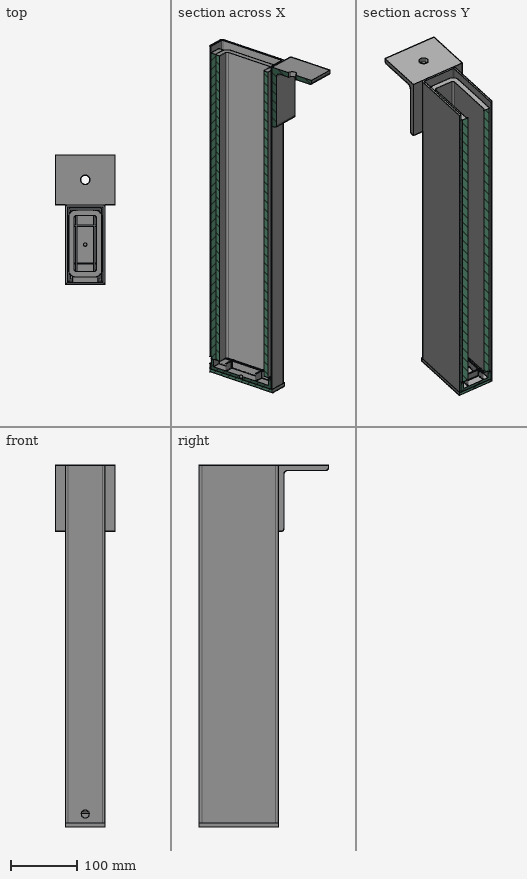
import cadquery as cq
TOTAL_HEIGHT = 545.0

PLATE_THICKNESS = 6.0

POST_WIDTH = 60.0
POST_DEPTH = 120.0
POST_WALL = 3.0
POST_CORNER_RADIUS = 4.5
POST_HEIGHT = TOTAL_HEIGHT - PLATE_THICKNESS
ACCESS_HOLE_DIAMETER = 12.0
ACCESS_HOLE_HEIGHT = 19.5

CAVITY_WIDTH = POST_WIDTH - 2 * POST_WALL
CAVITY_DEPTH = POST_DEPTH - 2 * POST_WALL
CAVITY_CORNER_RADIUS = POST_CORNER_RADIUS - POST_WALL
POST_FRONT_INSIDE = -CAVITY_DEPTH / 2

INSERT_TOP = 23.0
INSERT_CORNER_RADIUS = 3.0
INSERT_CHAMFER = 2.0
INSERT_FLOOR_THICKNESS = 5.0
INSERT_WALL = 5.0
RIB_THICKNESS = 1.7
RIB_OFFSET_X = 13.5
RIB_OFFSET_Y = 28.5
DRAIN_HOLE_DIAMETER = 5.0

INNER_WIDTH = 50.0
INNER_DEPTH = 100.5
INNER_WALL = 8.0
INNER_CORNER_RADIUS = 10.0
INNER_BORE_RADIUS = 3.0
INNER_TOP = 534
INNER_HEIGHT = INNER_TOP - INSERT_TOP
INNER_OFFSET_Y = 1.5
INNER_FRONT = INNER_OFFSET_Y - INNER_DEPTH / 2

SPACER_WIDTH = 38.0
SPACER_DEPTH = INNER_FRONT - POST_FRONT_INSIDE

BRACKET_WIDTH = 90.0
BRACKET_REACH = 75.0
BRACKET_DROP = 100.0
BRACKET_THICKNESS = 8.0
BRACKET_ROOT_RADIUS = 5.5
BRACKET_TOE_RADIUS = 4.5
BRACKET_HOLE_DIAMETER = 13.5
BRACKET_HOLE_FROM_EDGE = BRACKET_REACH / 2
POST_BACK = POST_DEPTH / 2


def rounded_block(width, depth, height, radius):
    """A block standing on Z = 0 with its four upright edges rounded."""
    block = cq.Workplane("XY").box(width, depth, height, centered=(True, True, False))
    return block.edges("|Z").fillet(radius)


def make_plate():
    """A plain rectangular plate that closes the foot of the post."""
    return cq.Workplane("XY").box(POST_WIDTH, POST_DEPTH, PLATE_THICKNESS, centered=(True, True, False))


def make_post():
    """The outer rectangular tube, with an access hole through the foot of its front wall."""
    outside = rounded_block(POST_WIDTH, POST_DEPTH, POST_HEIGHT, POST_CORNER_RADIUS)
    cavity = rounded_block(CAVITY_WIDTH, CAVITY_DEPTH, POST_HEIGHT, CAVITY_CORNER_RADIUS)
    post = outside.cut(cavity).translate((0, 0, PLATE_THICKNESS))
    access_hole = (
        cq.Workplane("XZ", origin=(0, 0, ACCESS_HOLE_HEIGHT))
        .circle(ACCESS_HOLE_DIAMETER / 2)
        .extrude(POST_DEPTH)
    )
    return post.cut(access_hole)


def make_insert():
    """A hollow plug with two ribs in each direction and a hole through its floor."""
    height = INSERT_TOP - PLATE_THICKNESS
    block = rounded_block(CAVITY_WIDTH, CAVITY_DEPTH, height, INSERT_CORNER_RADIUS)
    block = block.faces(">Z").edges().chamfer(INSERT_CHAMFER).translate((0, 0, PLATE_THICKNESS))
    hollow_width = CAVITY_WIDTH - 2 * INSERT_WALL
    hollow_depth = CAVITY_DEPTH - 2 * INSERT_WALL
    floor = PLATE_THICKNESS + INSERT_FLOOR_THICKNESS
    hollow = cq.Workplane("XY", origin=(0, 0, floor)).rect(hollow_width, hollow_depth).extrude(height)
    for side in (-1, 1):
        rib_x = cq.Workplane("XY", origin=(side * RIB_OFFSET_X, 0, floor)).rect(RIB_THICKNESS, CAVITY_DEPTH)
        rib_y = cq.Workplane("XY", origin=(0, side * RIB_OFFSET_Y, floor)).rect(CAVITY_WIDTH, RIB_THICKNESS)
        hollow = hollow.cut(rib_x.extrude(height)).cut(rib_y.extrude(height))
    drain = cq.Workplane("XY").circle(DRAIN_HOLE_DIAMETER / 2).extrude(INSERT_TOP)
    return block.cut(hollow).cut(drain)


def make_inner_tube():
    """A thicker tube inside the post that stands on the insert."""
    outside = rounded_block(INNER_WIDTH, INNER_DEPTH, INNER_HEIGHT, INNER_CORNER_RADIUS)
    bore_width = INNER_WIDTH - 2 * INNER_WALL
    bore_depth = INNER_DEPTH - 2 * INNER_WALL
    bore = rounded_block(bore_width, bore_depth, INNER_HEIGHT, INNER_BORE_RADIUS)
    return outside.cut(bore).translate((0, INNER_OFFSET_Y, INSERT_TOP))


def make_spacer():
    """A bar that fills the gap between the inner tube and the front wall of the post."""
    middle_y = (INNER_FRONT + POST_FRONT_INSIDE) / 2
    return (
        cq.Workplane("XY", origin=(0, middle_y, INSERT_TOP))
        .rect(SPACER_WIDTH, SPACER_DEPTH)
        .extrude(INNER_HEIGHT)
    )


def make_bracket():
    """An L-shaped bracket against the back of the post, level with its top."""
    back = POST_BACK + BRACKET_REACH
    upright_back = POST_BACK + BRACKET_THICKNESS
    underside = TOTAL_HEIGHT - BRACKET_THICKNESS
    bottom = TOTAL_HEIGHT - BRACKET_DROP
    bracket = (
        cq.Workplane("YZ")
        .moveTo(POST_BACK, TOTAL_HEIGHT)
        .lineTo(back, TOTAL_HEIGHT)
        .lineTo(back, underside)
        .lineTo(upright_back, underside)
        .lineTo(upright_back, bottom)
        .lineTo(POST_BACK, bottom)
        .close()
        .extrude(BRACKET_WIDTH / 2, both=True)
    )
    root = cq.selectors.NearestToPointSelector((0, upright_back, underside))
    upper_toe = cq.selectors.NearestToPointSelector((0, back, underside))
    lower_toe = cq.selectors.NearestToPointSelector((0, upright_back, bottom))
    bracket = bracket.edges(root).fillet(BRACKET_ROOT_RADIUS)
    bracket = bracket.edges(upper_toe).fillet(BRACKET_TOE_RADIUS)
    bracket = bracket.edges(lower_toe).fillet(BRACKET_TOE_RADIUS)
    hole = (
        cq.Workplane("XY", origin=(0, back - BRACKET_HOLE_FROM_EDGE, underside))
        .circle(BRACKET_HOLE_DIAMETER / 2)
        .extrude(BRACKET_THICKNESS)
    )
    return bracket.cut(hole)


plate = make_plate()
post = make_post()
insert = make_insert()
inner_tube = make_inner_tube()
spacer = make_spacer()
bracket = make_bracket()

result = cq.Compound.makeCompound(
    [plate.val(), post.val(), insert.val(), inner_tube.val(), spacer.val(), bracket.val()]
)